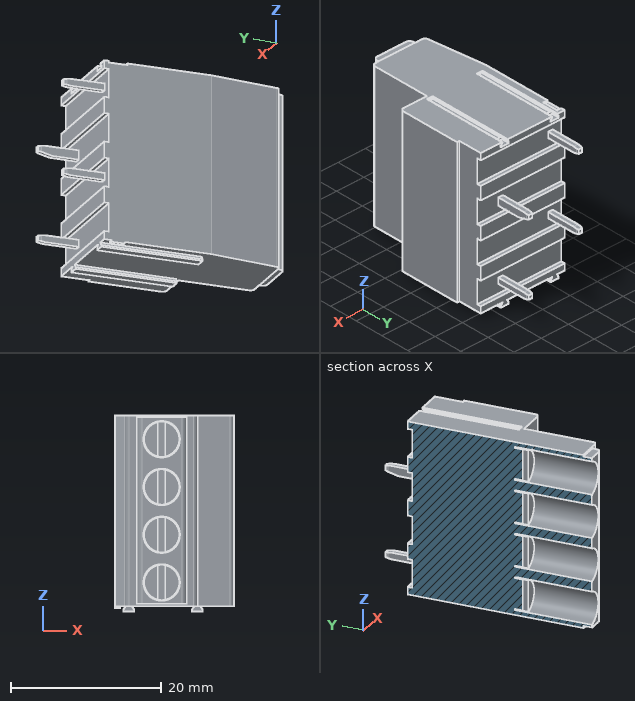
import cadquery as cq


POLES = 4
HOUSING_HEIGHT = 25.43
PITCH = HOUSING_HEIGHT / POLES

BODY_WIDTH = 11.0
FULL_WIDTH = 15.85
BACK_WIDTH = 15.4
STEP_DEPTH = 4.1
SHOULDER_DEPTH = 15.1
TAPER_START = 15.35
FRONT_DEPTH = 25.75
FRONT_LEFT = 1.32
CORNER_RADIUS = 0.58

NOSE_DEPTH = 27.0
NOSE_LEFT = 2.9
NOSE_WIDTH = 6.65
NOSE_BOTTOM = 0.32
NOSE_HEIGHT = 24.9
NOSE_RADIUS = 0.68

HOLE_DIAMETER = 4.9
HOLE_DEPTH = 11.25
HOLE_X = NOSE_LEFT + NOSE_WIDTH / 2
SCREW_DIAMETER = 4.7
SCREW_HEIGHT = 1.93
SLOT_WIDTH = 1.0
SLOT_DEPTH = 0.8

NOTCH_WIDTH = 4.05
NOTCH_DEPTH = 0.68

RAIL_X = (1.83, 10.95)
RAIL_LENGTH = 14.55
RAIL_HEIGHT = 0.7
RAIL_LIP = 0.25
RAIL_NECK = 0.87
RAIL_WIDTH = 1.48
GROOVE_LEAD = 1.32
GROOVE_NECK = 0.75
GROOVE_MOUTH = 1.03
GROOVE_FLARE = 0.1
GROOVE_DEPTH = 0.25
LEDGE_LENGTH = 0.23
LEDGE_DEPTH = 0.15

KEY_HEIGHT = 0.23
KEY_WIDTH = 0.68
KEY_BACK = 1.1
KEY_LENGTH = 1.95
KEY_CHAMFER = 0.15
POCKET_WIDTH = 0.77
POCKET_BACK = 0.68
POCKET_LENGTH = 2.67

PIN_X = (11.12, 2.0)
PIN_LENGTH = 5.15
PIN_THICKNESS = 0.85
PIN_HEIGHT = 1.0
PIN_ROOT = 1.93
TIP_LENGTH = 0.93
TIP_BEVEL = 0.4
TIP_THICKNESS = 0.65
TIP_HEIGHT = 0.7
KEYED_POLE = 2
KEYED_DROP = 0.32
KEYED_TAPER = 1.95


def pole_z(pole):
    return (pole + 0.5) * PITCH


def box(x, y, z, width, depth, height):
    """Box with its low corner at (x, y, z)."""
    return cq.Workplane("XY").box(width, depth, height, centered=False).translate((x, y, z))


def make_housing():
    outline = [
        (0, 0),
        (BACK_WIDTH, 0),
        (BACK_WIDTH, -STEP_DEPTH),
        (FULL_WIDTH, -STEP_DEPTH),
        (FULL_WIDTH, -SHOULDER_DEPTH),
        (BODY_WIDTH, -SHOULDER_DEPTH),
        (BODY_WIDTH, -FRONT_DEPTH),
        (FRONT_LEFT, -FRONT_DEPTH),
        (0, -TAPER_START),
    ]
    housing = cq.Workplane("XY").polyline(outline).close().extrude(HOUSING_HEIGHT)
    rounded_corners = [
        (FULL_WIDTH, -SHOULDER_DEPTH),
        (BODY_WIDTH, -FRONT_DEPTH),
        (FRONT_LEFT, -FRONT_DEPTH),
    ]
    for x, y in rounded_corners:
        corner = cq.selectors.NearestToPointSelector((x, y, HOUSING_HEIGHT / 2))
        housing = housing.edges("|Z").edges(corner).fillet(CORNER_RADIUS)
    return housing


def make_nose():
    depth = NOSE_DEPTH - FRONT_DEPTH + CORNER_RADIUS
    nose = box(NOSE_LEFT, -NOSE_DEPTH, NOSE_BOTTOM, NOSE_WIDTH, depth, NOSE_HEIGHT)
    return nose.faces("<Y").edges("|Z").fillet(NOSE_RADIUS)


def disc(pole, diameter, bottom_depth, height):
    """Cylinder at a pole, running forward from bottom_depth."""
    return (
        cq.Workplane("XZ", origin=(HOLE_X, -bottom_depth, pole_z(pole)))
        .circle(diameter / 2)
        .extrude(height)
    )


def make_screw(pole, bottom_depth):
    screw = disc(pole, SCREW_DIAMETER, bottom_depth, SCREW_HEIGHT)
    slot = box(
        HOLE_X - SLOT_WIDTH / 2, -bottom_depth - SCREW_HEIGHT, pole_z(pole) - SCREW_DIAMETER / 2,
        SLOT_WIDTH, SLOT_DEPTH, SCREW_DIAMETER,
    )
    return screw.cut(slot)


def extrude_forward(section, start, end):
    """Extrude an XZ section between two depths measured from the back."""
    return cq.Workplane("XZ", origin=(0, -start, 0)).polyline(section).close().extrude(end - start)


def make_dovetail(x, base_z, neck, length):
    """Dovetail running forward from the back, wide at base_z and narrow at its top."""
    section = [
        (x - neck / 2, base_z + RAIL_HEIGHT),
        (x - RAIL_WIDTH / 2, base_z + RAIL_LIP),
        (x - RAIL_WIDTH / 2, base_z),
        (x + RAIL_WIDTH / 2, base_z),
        (x + RAIL_WIDTH / 2, base_z + RAIL_LIP),
        (x + neck / 2, base_z + RAIL_HEIGHT),
    ]
    return extrude_forward(section, 0, length)


def make_groove(x, length):
    """Flared groove in the top with a dovetail stretch at the back."""
    mouth = [
        (x - GROOVE_MOUTH / 2, HOUSING_HEIGHT),
        (x - GROOVE_NECK / 2, HOUSING_HEIGHT - GROOVE_FLARE),
        (x + GROOVE_NECK / 2, HOUSING_HEIGHT - GROOVE_FLARE),
        (x + GROOVE_MOUTH / 2, HOUSING_HEIGHT),
    ]
    groove = extrude_forward(mouth, 0, RAIL_LENGTH)
    floor_z = HOUSING_HEIGHT - GROOVE_DEPTH
    groove = groove.union(
        box(x - GROOVE_NECK / 2, -length, floor_z, GROOVE_NECK, length, GROOVE_DEPTH)
    )
    ledge_z = HOUSING_HEIGHT - LEDGE_DEPTH
    groove = groove.union(
        box(x - GROOVE_NECK / 2, -RAIL_LENGTH, ledge_z, GROOVE_NECK, RAIL_LENGTH, LEDGE_DEPTH)
    )
    return groove.union(make_dovetail(x, HOUSING_HEIGHT - RAIL_HEIGHT, GROOVE_NECK, GROOVE_LEAD))


def make_key():
    key_front = KEY_BACK + KEY_LENGTH
    side = [
        (-KEY_BACK, 0),
        (-KEY_BACK, -KEY_HEIGHT),
        (-key_front + KEY_CHAMFER, -KEY_HEIGHT),
        (-key_front, 0),
    ]
    return cq.Workplane("YZ").polyline(side).close().extrude(KEY_WIDTH)


def make_pin(pole):
    """Pin with a side outline cut by a plan outline, both tapering to the tip."""
    x = PIN_X[pole % 2]
    z = pole_z(pole)
    top = z + PIN_HEIGHT / 2
    bottom = z - PIN_HEIGHT / 2
    lower_taper = TIP_LENGTH
    if pole == KEYED_POLE:
        bottom -= KEYED_DROP
        lower_taper = KEYED_TAPER
    side = [
        (-PIN_ROOT, bottom),
        (PIN_LENGTH - lower_taper, bottom),
        (PIN_LENGTH, z - TIP_HEIGHT / 2),
        (PIN_LENGTH, z + TIP_HEIGHT / 2),
        (PIN_LENGTH - TIP_LENGTH, top),
        (-PIN_ROOT, top),
    ]
    plan = [
        (x - PIN_THICKNESS / 2, -PIN_ROOT),
        (x + PIN_THICKNESS / 2, -PIN_ROOT),
        (x + PIN_THICKNESS / 2, PIN_LENGTH - TIP_BEVEL),
        (x + TIP_THICKNESS / 2, PIN_LENGTH),
        (x - TIP_THICKNESS / 2, PIN_LENGTH),
        (x - PIN_THICKNESS / 2, PIN_LENGTH - TIP_BEVEL),
    ]
    side_body = cq.Workplane("YZ").polyline(side).close().extrude(FULL_WIDTH)
    plan_body = cq.Workplane("XY").polyline(plan).close().extrude(HOUSING_HEIGHT)
    return side_body.intersect(plan_body)


result = make_housing().union(make_nose())

hole_bottom = NOSE_DEPTH - HOLE_DEPTH
for pole in range(POLES):
    result = result.cut(disc(pole, HOLE_DIAMETER, hole_bottom, HOLE_DEPTH))
    result = result.union(make_screw(pole, hole_bottom))
    notch_z = pole_z(pole) - NOTCH_WIDTH / 2
    result = result.cut(box(0, -NOTCH_DEPTH, notch_z, FULL_WIDTH, NOTCH_DEPTH, NOTCH_WIDTH))

groove_lengths = (RAIL_LENGTH, RAIL_LENGTH - LEDGE_LENGTH)
for rail_x, groove_length in zip(RAIL_X, groove_lengths):
    result = result.union(make_dovetail(rail_x, -RAIL_HEIGHT, RAIL_NECK, RAIL_LENGTH))
    result = result.cut(make_groove(rail_x, groove_length))

pocket_y = -POCKET_BACK - POCKET_LENGTH
pocket_z = HOUSING_HEIGHT - KEY_HEIGHT
result = result.cut(box(0, pocket_y, pocket_z, POCKET_WIDTH, POCKET_LENGTH, KEY_HEIGHT))
result = result.union(make_key())

for pole in range(POLES):
    result = result.union(make_pin(pole))